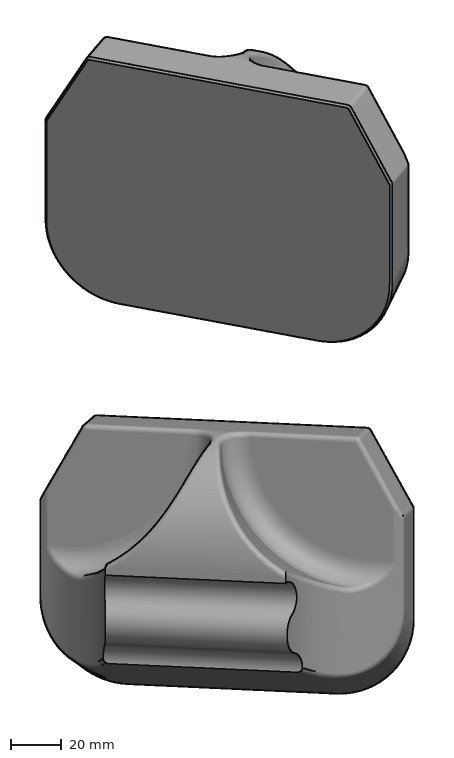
import cadquery as cq
import math

WIDTH = 147.3
DEPTH = 65.0
HEIGHT = 107.7
HALF_WIDTH = WIDTH / 2
MARGIN = 7.4

PLATE_DEPTH = 20.6
TOP_HALF_WIDTH = 55.7
BEVEL_BOTTOM_Z = 76.3
BOTTOM_CORNER_RADIUS = 31.7
UNDERSIDE_RISE = math.tan(math.radians(20))

DOME_RADIUS = 47.7
DOME_BOTTOM_Z = 60.0
LIP_BOTTOM_Z = 56.9
FIRST_GROOVE_MIDDLE = (55.7, 49.5)
FIRST_GROOVE_END = (59.4, 43.2)
RIDGE_END = (57.2, 27.4)
GRIP_BOTTOM_Y = 52.2

GRIP_FRONT_HALF_WIDTH = 36.5
FLANK_START_Y = 19.2
FLANK_MIDDLE = (53.5, 32.3)

SEAM_TURN = -90
SCOOP_AXIS_X = 61.1
SCOOP_FLOOR_RADIUS = 49.4
SCOOP_WALL_RADIUS = 59.0
SCOOP_WALL_Y = 31.2
SCOOP_FRONT_RADIUS = 52.5

RIM_RADIUS = 2.0
BACK_CHAMFER = 0.9
BEVEL_EDGE_RADIUS = 2.2


def back_outline():
    """Rounded-bottom outline at Y = 0, placed so that the back chamfer ends on Z = 0."""
    return (
        cq.Workplane("XZ", origin=(0, 0, -BACK_CHAMFER * UNDERSIDE_RISE))
        .moveTo(-HALF_WIDTH, HEIGHT + MARGIN)
        .lineTo(-HALF_WIDTH, BOTTOM_CORNER_RADIUS)
        .radiusArc((-HALF_WIDTH + BOTTOM_CORNER_RADIUS, 0), -BOTTOM_CORNER_RADIUS)
        .lineTo(HALF_WIDTH - BOTTOM_CORNER_RADIUS, 0)
        .radiusArc((HALF_WIDTH, BOTTOM_CORNER_RADIUS), -BOTTOM_CORNER_RADIUS)
        .lineTo(HALF_WIDTH, HEIGHT + MARGIN)
        .close()
        .wire()
        .val()
    )


def sloping_block():
    """Oblique prism that gives the sides, the rounded corners and the underside."""
    length = DEPTH + MARGIN
    slope = cq.Vector(0, length, length * UNDERSIDE_RISE)
    return cq.Workplane(obj=cq.Solid.extrudeLinear(back_outline(), [], slope))


def bevelled_prism():
    """Prism along Y that bevels the two upper corners."""
    return (
        cq.Workplane("XZ")
        .polyline([
            (-HALF_WIDTH, -MARGIN),
            (HALF_WIDTH, -MARGIN),
            (HALF_WIDTH, BEVEL_BOTTOM_Z),
            (TOP_HALF_WIDTH, HEIGHT),
            (-TOP_HALF_WIDTH, HEIGHT),
            (-HALF_WIDTH, BEVEL_BOTTOM_Z),
        ])
        .close()
        .extrude(-(DEPTH + MARGIN))
        .edges("|Y").edges(cq.selectors.BoxSelector(
            (-WIDTH, -MARGIN, BEVEL_BOTTOM_Z - MARGIN),
            (WIDTH, DEPTH + 2 * MARGIN, HEIGHT + MARGIN),
        ))
        .fillet(BEVEL_EDGE_RADIUS)
    )


def grip_side_prism():
    """Prism along X with the dome and the finger waves."""
    grip_bottom_z = (GRIP_BOTTOM_Y - BACK_CHAMFER) * UNDERSIDE_RISE
    return (
        cq.Workplane("YZ")
        .moveTo(0, -MARGIN)
        .lineTo(0, HEIGHT)
        .lineTo(PLATE_DEPTH, HEIGHT)
        .radiusArc((DEPTH, DOME_BOTTOM_Z), DOME_RADIUS)
        .lineTo(DEPTH, LIP_BOTTOM_Z)
        .threePointArc(FIRST_GROOVE_MIDDLE, FIRST_GROOVE_END)
        .tangentArcPoint(RIDGE_END, relative=False)
        .tangentArcPoint((GRIP_BOTTOM_Y, grip_bottom_z), relative=False)
        .lineTo(GRIP_BOTTOM_Y, -MARGIN)
        .close()
        .extrude(HALF_WIDTH + MARGIN, both=True)
    )


def grip_plan_prism():
    """Prism along Z with the plate and the concave flanks."""
    flank_x, flank_y = FLANK_MIDDLE
    return (
        cq.Workplane("XY")
        .moveTo(-HALF_WIDTH, 0)
        .lineTo(-HALF_WIDTH, FLANK_START_Y)
        .threePointArc((-flank_x, flank_y), (-GRIP_FRONT_HALF_WIDTH, DEPTH))
        .lineTo(GRIP_FRONT_HALF_WIDTH, DEPTH)
        .threePointArc((flank_x, flank_y), (HALF_WIDTH, FLANK_START_Y))
        .lineTo(HALF_WIDTH, 0)
        .close()
        .extrude(HEIGHT + 2 * MARGIN)
        .translate((0, 0, -MARGIN))
    )


def thumb_scoop():
    """Left undercut cone with a rounded floor edge."""
    wall_slope = (SCOOP_FRONT_RADIUS - SCOOP_WALL_RADIUS) / (DEPTH - SCOOP_WALL_Y)
    end_radius = SCOOP_FRONT_RADIUS + wall_slope * MARGIN
    return (
        cq.Workplane("XY")
        .lineTo(-SCOOP_FLOOR_RADIUS, 0)
        .tangentArcPoint((-SCOOP_WALL_RADIUS, SCOOP_WALL_Y - PLATE_DEPTH), relative=False)
        .lineTo(-end_radius, DEPTH + MARGIN - PLATE_DEPTH)
        .lineTo(0, DEPTH + MARGIN - PLATE_DEPTH)
        .close()
        .revolve(360, (0, 0), (0, 1))
        .rotate((0, 0, 0), (0, 1, 0), SEAM_TURN)
        .translate((-SCOOP_AXIS_X, PLATE_DEPTH, HEIGHT))
    )


body = sloping_block().intersect(bevelled_prism())
body = body.faces("<Y").edges().chamfer(BACK_CHAMFER)
body = body.intersect(grip_side_prism()).intersect(grip_plan_prism())
body = body.cut(thumb_scoop())

flank_foot = (-HALF_WIDTH, FLANK_START_Y, LIP_BOTTOM_Z)
dome_rim = (-GRIP_FRONT_HALF_WIDTH / 2, DEPTH - DOME_RADIUS / 3, HEIGHT - DOME_RADIUS / 2)
lower_rim = (-GRIP_FRONT_HALF_WIDTH, DEPTH - DOME_RADIUS / 3, LIP_BOTTOM_Z)
front_edges = cq.Workplane()
for point in (flank_foot, dome_rim, lower_rim):
    front_edges = front_edges.add(body.edges(cq.selectors.NearestToPointSelector(point)))
body = body.newObject(front_edges.vals()).fillet(RIM_RADIUS)

left_space = cq.Workplane("XY").box(WIDTH, WIDTH, 2 * WIDTH).translate((-HALF_WIDTH, 0, 0))
left_half = body.intersect(left_space)
result = left_half.union(left_half.mirror("YZ"), clean=True)